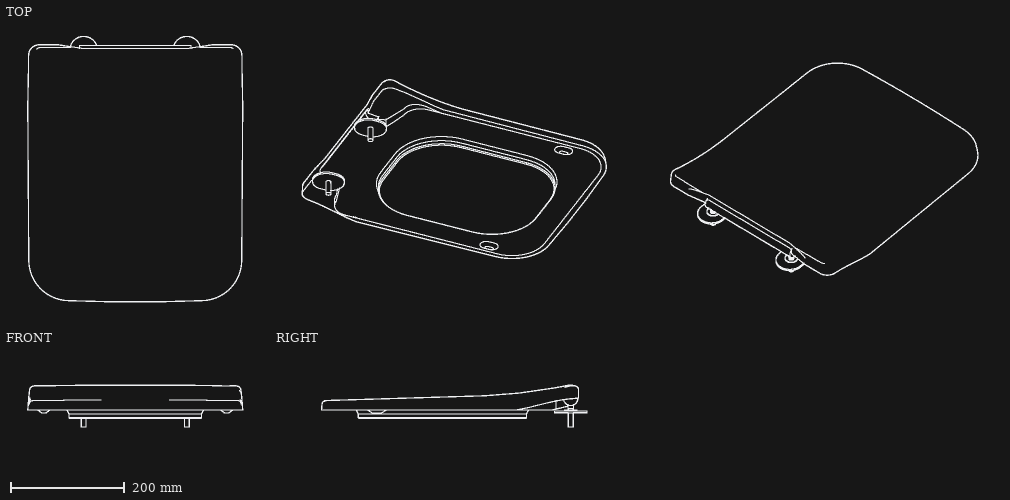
import cadquery as cq
import math


overall_length = 468.0
plate_length = 57.5

rear_y = 14.0
rear_half_width = 190.0
rear_corner_r = 18.5
front_half_width = 187.5
front_y = plate_length / 2 - overall_length
front_bow = 2.5
front_corner_r = 71.5
draft_angle = 6.0
lid_blank_height = 65.5

side_height = 17.0
crest_slope = 0.03
sweep_y = -143.5
side_sweep = 26.0
side_sweep_power = 1.85
crest_sweep = 14.5
crest_sweep_power = 1.6
rear_roll_y = -3.5
rear_roll = 0.02564
crown_half_width = 180.5
crown_margin = 18.5
crown_steps = 30
lid_rim = [(14.0, 21.0), (-15.0, 18.3), (-47.7, 11.0), (-77.5, 3.7), (-143.5, 0.0)]
lid_edge_r = 7.0

notch_depth = 6.5
notch_half_width = 93.5
notch_mouth_half_width = 135.5

skirt_wall = 9.5
seat_thickness = 8.5
seat_half_width = front_half_width - skirt_wall
seat_front_y = front_y + front_bow + skirt_wall
seat_front_r = front_corner_r - skirt_wall
seat_rear_y = -40.0
seat_rear_r = 32.0
seat_rise_start_y = -103.0
seat_rear_height = 19.5
arm_half_width = 84.2
arm_shoulder_half_width = 98.5
arm_shoulder_y = -26.0
arm_root_y = -32.5
barrel_d = 25.5
barrel_half_length = 98.5
barrel_z = 20.5

lip_half_width = 117.0
lip_half_length = 148.5
lip_corner_r = 85.5
lip_y = -226.0
lip_depth = 15.0
lip_flare_depth = 6.5
lip_flare = 3.5
lip_chamfer = 2.0

bumper_x = 161.0
bumper_y = -341.0
bumper_height = 5.0
bumper_base = (32.8, 21.5)
bumper_foot = (15.5, 7.5)

hinge_x = 91.0
pin_d = 9.0
pin_bottom = -30.0
pin_top = 12.5
collar_d = 10.0
collar_bottom = 3.5
plate_width = 49.0
plate_top = -1.5
plate_thickness = 3.5
washer_d = 22.0
washer_thickness = 1.5

deep = 936.0


def lid_outline(z):
    """Closed lid outline at height z; the sides and front lean inwards, the rear edge stays put."""
    inset = z * math.tan(math.radians(draft_angle))
    rear_x = rear_half_width - inset
    front_x = front_half_width - inset
    nose_y = front_y + inset
    edge_y = nose_y + front_bow
    corner_x = front_x - front_corner_r
    corner_y = edge_y + front_corner_r
    front_mid = front_corner_r * math.sqrt(0.5)
    rear_x_start = rear_x - rear_corner_r
    rear_y_start = rear_y - rear_corner_r
    rear_mid = rear_corner_r * math.sqrt(0.5)
    return (
        cq.Workplane("XY", origin=(0, 0, z))
        .moveTo(rear_x_start, rear_y)
        .threePointArc((rear_x_start + rear_mid, rear_y_start + rear_mid), (rear_x, rear_y_start))
        .lineTo(front_x, corner_y)
        .threePointArc((corner_x + front_mid, corner_y - front_mid), (corner_x, edge_y))
        .threePointArc((0, nose_y), (-corner_x, edge_y))
        .threePointArc((-corner_x - front_mid, corner_y - front_mid), (-front_x, corner_y))
        .lineTo(-rear_x, rear_y_start)
        .threePointArc((-rear_x_start - rear_mid, rear_y_start + rear_mid), (-rear_x_start, rear_y))
        .close()
        .val()
    )


def crown_height(x, y):
    """Height of the lid's top: parabolic across, sweeping up to the rear and rolling over its edge."""
    sweep = max(0.0, (y - sweep_y) / -sweep_y)
    side = side_height + side_sweep * sweep ** side_sweep_power
    crest = side_height + crest_slope * (y - front_y) + crest_sweep * sweep ** crest_sweep_power
    drop = rear_roll * max(0.0, y - rear_roll_y) ** 2
    return side + (crest - side) * (1 - (x / crown_half_width) ** 2) - drop


def make_under_crown():
    """Block filling everything below the lid's top surface."""
    half_width = rear_half_width + crown_margin
    start_y = front_y - crown_margin
    length = rear_y + crown_margin - start_y
    points = [
        [
            cq.Vector(x, y, crown_height(x, y))
            for y in [start_y + length * j / crown_steps for j in range(crown_steps + 1)]
        ]
        for x in [half_width * (2 * i / crown_steps - 1) for i in range(crown_steps + 1)]
    ]
    top = cq.Face.makeSplineApprox(points, tol=0.01, minDeg=3, maxDeg=5)
    return cq.Workplane(cq.Solid.extrudeLinear(top, cq.Vector(0, 0, -lid_blank_height)))


def make_lid_shell():
    """Lid before the seat is recessed into it."""
    blank = cq.Workplane(cq.Solid.makeLoft([lid_outline(0), lid_outline(lid_blank_height)], True))
    lid = blank.intersect(make_under_crown())
    lid = lid.faces(">Z").edges().fillet(lid_edge_r)
    under_rim = (
        cq.Workplane("YZ")
        .moveTo(rear_y, 0)
        .lineTo(*lid_rim[0])
        .spline(lid_rim[1:], includeCurrent=True)
        .close()
        .extrude(deep / 2, both=True)
    )
    notch = (
        cq.Workplane("XY")
        .polyline([
            (-notch_mouth_half_width, rear_y),
            (-notch_half_width, rear_y - notch_depth),
            (notch_half_width, rear_y - notch_depth),
            (notch_mouth_half_width, rear_y),
        ])
        .close()
        .extrude(deep)
    )
    return lid.cut(under_rim).cut(notch)


def make_lip():
    """Rounded lip under the seat, flared where it meets the seat."""
    def slab(depth):
        return (
            cq.Workplane("XY", origin=(0, lip_y, -depth))
            .rect(2 * lip_half_width, 2 * lip_half_length)
            .extrude(depth)
            .edges("|Z").fillet(lip_corner_r)
        )

    wall = slab(lip_depth).faces("<Z").edges().chamfer(lip_chamfer)
    outline = slab(lip_flare_depth).faces("<Z").wires().val()
    flare_angle = math.degrees(math.atan(lip_flare / lip_flare_depth))
    flare = cq.Workplane(cq.Solid.extrudeLinear(outline, [], cq.Vector(0, 0, lip_flare_depth), -flare_angle))
    return wall.union(flare)


def make_seat():
    """Seat plate rising at the rear into arms and a hinge barrel, with the lip below."""
    rear_corner_mid = seat_rear_r * (1 - math.sqrt(0.5))
    plan = (
        cq.Workplane("XY")
        .moveTo(arm_half_width, 0)
        .lineTo(arm_shoulder_half_width, arm_shoulder_y)
        .lineTo(seat_half_width - seat_rear_r, seat_rear_y)
        .threePointArc((seat_half_width - rear_corner_mid, seat_rear_y - rear_corner_mid),
                       (seat_half_width, seat_rear_y - seat_rear_r))
        .lineTo(seat_half_width, seat_front_y + seat_front_r)
        .radiusArc((seat_half_width - seat_front_r, seat_front_y), seat_front_r)
        .lineTo(0, seat_front_y)
        .lineTo(0, 0)
        .close()
        .extrude(lid_blank_height)
    )
    plan = plan.union(plan.mirror("YZ"))
    barrel_r = barrel_d / 2
    side = (
        cq.Workplane("YZ")
        .polyline([
            (seat_front_y, 0),
            (arm_root_y, 0),
            (0, barrel_z - barrel_r),
            (0, barrel_z + barrel_r),
            (seat_rear_y, seat_rear_height),
            (seat_rise_start_y, seat_thickness),
            (seat_front_y, seat_thickness),
        ])
        .close()
        .extrude(deep / 2, both=True)
    )
    barrel = (
        cq.Workplane("YZ")
        .center(0, barrel_z)
        .circle(barrel_r)
        .extrude(barrel_half_length, both=True)
    )
    return plan.intersect(side).union(barrel).union(make_lip())


def make_bumper(x):
    """Oblong pad under the seat, narrowing downwards."""
    return (
        cq.Workplane("XY", origin=(x, bumper_y, 0))
        .slot2D(*bumper_base, angle=90)
        .workplane(offset=-bumper_height)
        .slot2D(*bumper_foot, angle=90)
        .loft()
    )


def make_pin(x):
    """Hinge pin with a slightly thicker collar under the barrel."""
    shank = cq.Workplane("XY", origin=(x, 0, pin_bottom)).circle(pin_d / 2).extrude(pin_top - pin_bottom)
    collar = (
        cq.Workplane("XY", origin=(x, 0, collar_bottom))
        .circle(collar_d / 2)
        .extrude(pin_top - collar_bottom)
    )
    return shank.union(collar)


def make_plate(x):
    """Oblong hinge plate around a pin."""
    return (
        cq.Workplane("XY", origin=(x, 0, plate_top - plate_thickness))
        .slot2D(plate_length, plate_width, angle=90)
        .circle(pin_d / 2)
        .extrude(plate_thickness)
    )


def make_washer(x):
    """Thin washer lying on a hinge plate."""
    return (
        cq.Workplane("XY", origin=(x, 0, plate_top))
        .circle(washer_d / 2)
        .circle(pin_d / 2)
        .extrude(washer_thickness)
    )


sides = (-1, 1)
pins = [make_pin(side * hinge_x) for side in sides]
plates = [make_plate(side * hinge_x) for side in sides]
washers = [make_washer(side * hinge_x) for side in sides]
bumpers = [make_bumper(side * bumper_x) for side in sides]

solid_seat = make_seat()
lid = make_lid_shell().cut(solid_seat)
seat = solid_seat
for pin in pins:
    seat = seat.cut(pin)

result = cq.Compound.makeCompound(
    [body.solids().val() for body in [lid, seat] + pins + plates + washers + bumpers]
)